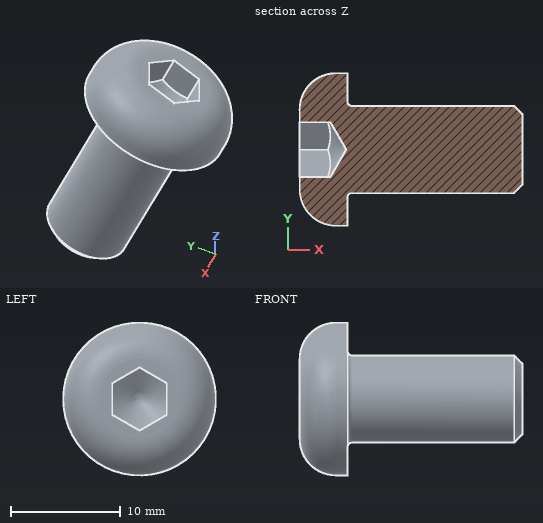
import cadquery as cq
import math

shank_length = 16.0
shank_diameter = 8.0
tip_diameter = 6.47
head_diameter = 14.0
head_height = 4.4
dome_radius = 3.35
neck_fillet = 0.4
socket_width = 5.0
socket_depth = 2.6
socket_cone_angle = 120.0

shank_radius = shank_diameter / 2
head_radius = head_diameter / 2
total_length = head_height + shank_length
tip_chamfer = (shank_diameter - tip_diameter) / 2
socket_corner_diameter = socket_width / math.cos(math.radians(30))


def screw_body():
    """Head and shank revolved about the X axis."""
    face_radius = head_radius - dome_radius
    arc_offset = dome_radius * math.sin(math.radians(45))
    fillet_offset = neck_fillet * (1 - math.sin(math.radians(45)))
    profile = (
        cq.Workplane("XY")
        .lineTo(0, face_radius)
        .threePointArc(
            (dome_radius - arc_offset, face_radius + arc_offset),
            (dome_radius, head_radius),
        )
        .lineTo(head_height, head_radius)
        .lineTo(head_height, shank_radius + neck_fillet)
        .threePointArc(
            (head_height + fillet_offset, shank_radius + fillet_offset),
            (head_height + neck_fillet, shank_radius),
        )
        .lineTo(total_length - tip_chamfer, shank_radius)
        .lineTo(total_length, shank_radius - tip_chamfer)
        .lineTo(total_length, 0)
        .close()
    )
    return profile.revolve(360, (0, 0, 0), (1, 0, 0))


def hex_socket():
    """Hexagonal prism with corners at +-Z, ending in a cone."""
    cone_radius = socket_corner_diameter / 2
    cone_height = cone_radius / math.tan(math.radians(socket_cone_angle / 2))
    prism = (
        cq.Workplane("YZ")
        .transformed(rotate=(0, 0, 90))
        .polygon(6, socket_corner_diameter)
        .extrude(socket_depth + cone_height)
    )
    drill = (
        cq.Workplane("XY")
        .lineTo(0, cone_radius)
        .lineTo(socket_depth, cone_radius)
        .lineTo(socket_depth + cone_height, 0)
        .close()
        .revolve(360, (0, 0, 0), (1, 0, 0))
    )
    return prism.intersect(drill)


result = screw_body().cut(hex_socket())